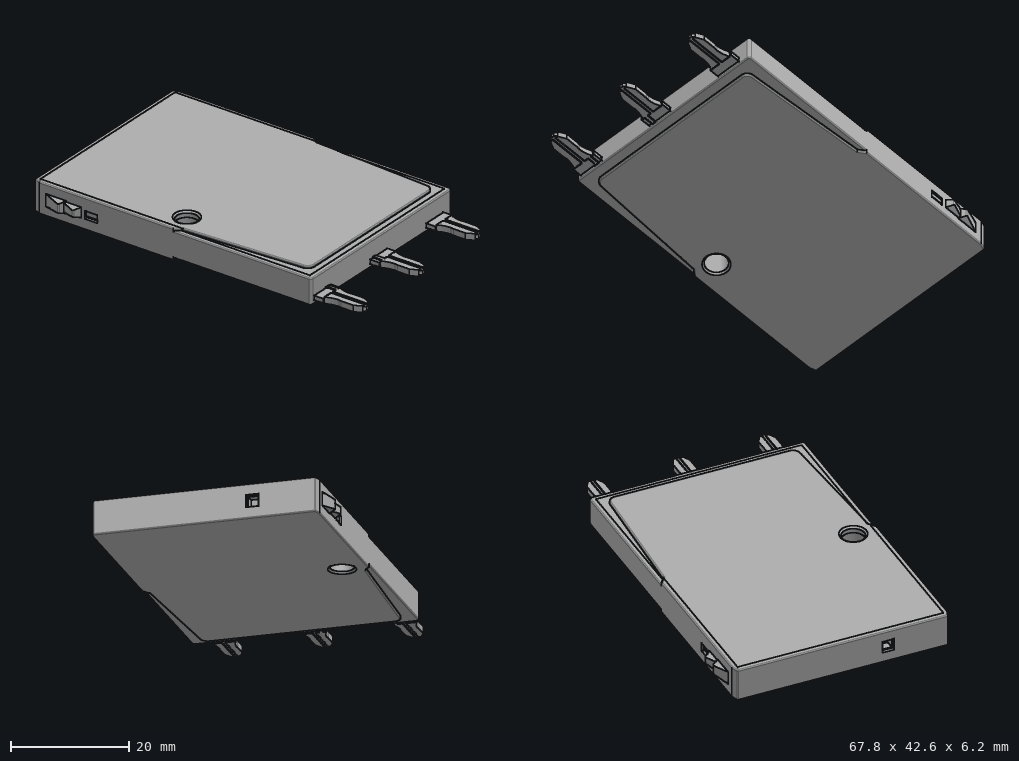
import cadquery as cq


LENGTH = 58.3
WIDTH = 40.2
THICKNESS = 6.2
HALF_WIDTH = WIDTH / 2
HALF_THICKNESS = THICKNESS / 2
NOSE_LENGTH = 1.3
NOSE_INSET = 0.45
NOSE_RADIUS = 0.2
END_RADIUS = 0.5
RIM_RADIUS = 0.2

STEP_DEPTH = 0.5
STEP_START_X = 29.4
TAPER_START_X = 30.7
TAPER_START_HALF_WIDTH = 19.1
RAISED_END_X = 56.2
RAISED_END_HALF_WIDTH = 17.65
RAISED_CORNER_RADIUS = 1.4

COVER_INSET = 0.9
COVER_DEPTH = 1.2

HOLE_X = 28.88
HOLE_Y = -15.48
HOLE_RADIUS = 2.08
HOLE_CHAMFER = 0.36

WINDOW_Y = -8.55
WINDOW_SIZE = 2.22
WINDOW_DEPTH = 0.65
WINDOW_INNER_SIZE = 1.78
WINDOW_INNER_DEPTH = 2.2

TOOTH_START_X = 2.67
TOOTH_APEX_X = 6.15
TOOTH_END_X = 7.0
TOOTH_HEIGHT = 1.285
TOOTH_TIP_RADIUS = 0.3
TOOTH_PITCH = 3.1
TOOTH_BASE_HALF_HEIGHTS = (1.22, 1.0)
TOOTH_DRAFT = 0.3
TOOTH_ROOT = 0.5

POCKET_START_X = 10.9
POCKET_END_X = 13.5
POCKET_END_SLANT = 0.25
POCKET_TOP_Z = 0.55
POCKET_BEND_Z = -0.55
POCKET_BOTTOM_Z = -1.0
POCKET_DEPTH = 0.3
POCKET_BOTTOM_DEPTH = 0.67

PIN_PITCH = 16.0
MIDDLE_PIN_Y = -0.75
PIN_Z = -1.45
PIN_THICKNESS = 1.3
THIN_THICKNESS = 0.9
PIN_ROOT = 3.0
COLLAR_LENGTH = 1.9
COLLAR_END_X = LENGTH + COLLAR_LENGTH
COLLAR_HALF_WIDTH = 2.45
BLADE_BASE_HALF_WIDTH = 2.2
NECK_X = 62.75
NECK_HALF_WIDTH = 1.53
BLADE_START_X = 63.3
BLADE_HALF_WIDTH = 1.62
TAPER_X = 65.9
SHOULDER_X = 67.35
SHOULDER_HALF_WIDTH = 0.87
TIP_X = 67.76
TIP_HALF_WIDTH = 0.32
GROOVE_HALF_WIDTH = 0.3

MIDDLE_RIDGE_Y = (-1.7, -0.95)
LOW_RIDGE_Y = (1.15, 1.8)
LOW_RIDGE_FLARE = 0.45


def prism(outline, z_low, z_high):
    """Extrude a closed XY outline from z_low to z_high."""
    return outline.extrude(z_high - z_low).translate((0, 0, z_low))


def plate(side, half_thickness, end_radius):
    """Plate with slanted nose corners and rounded rims, from the points of its +Y long side."""
    half = [(0, HALF_WIDTH - NOSE_INSET), (NOSE_LENGTH, HALF_WIDTH), *side]
    other_half = [(x, -y) for x, y in reversed(half)]
    block = prism(cq.Workplane("XY").polyline(half + other_half).close(), -half_thickness, half_thickness)
    block = block.edges("|Z and <X").fillet(NOSE_RADIUS)
    block = block.edges("|Z and >X").fillet(end_radius)
    return block.faces("<Z or >Z").edges().fillet(RIM_RADIUS)


def case_block():
    """Outer shape of housing and cover together: a plate with a thicker raised field."""
    base_side = [(LENGTH, HALF_WIDTH)]
    raised_side = [
        (STEP_START_X, HALF_WIDTH),
        (TAPER_START_X, TAPER_START_HALF_WIDTH),
        (RAISED_END_X, RAISED_END_HALF_WIDTH),
    ]
    base = plate(base_side, HALF_THICKNESS - STEP_DEPTH, END_RADIUS)
    return base.union(plate(raised_side, HALF_THICKNESS, RAISED_CORNER_RADIUS))


def cover_space():
    """Box inside which the case belongs to the cover."""
    return cq.Workplane("XY").box(
        LENGTH - 2 * COVER_INSET, WIDTH - 2 * COVER_INSET, COVER_DEPTH, centered=(False, True, False)
    ).translate((COVER_INSET, 0, HALF_THICKNESS - COVER_DEPTH))


def through_hole():
    """Hole through housing and cover, chamfered at both large faces."""
    mouth_radius = HOLE_RADIUS + HOLE_CHAMFER
    return (
        cq.Workplane("XZ")
        .polyline([
            (0, -HALF_THICKNESS),
            (mouth_radius, -HALF_THICKNESS),
            (HOLE_RADIUS, HOLE_CHAMFER - HALF_THICKNESS),
            (HOLE_RADIUS, HALF_THICKNESS - HOLE_CHAMFER),
            (mouth_radius, HALF_THICKNESS),
            (0, HALF_THICKNESS),
        ])
        .close()
        .revolve(360, (0, 0), (0, 1))
        .translate((HOLE_X, HOLE_Y, 0))
    )


def window():
    """Stepped square recess running inward from the -X end face."""
    outer = cq.Workplane("YZ").center(WINDOW_Y, 0).rect(WINDOW_SIZE, WINDOW_SIZE).extrude(WINDOW_DEPTH)
    inner = (
        cq.Workplane("YZ").center(WINDOW_Y, 0)
        .rect(WINDOW_INNER_SIZE, WINDOW_INNER_SIZE).extrude(WINDOW_INNER_DEPTH)
    )
    return outer.union(inner)


def tooth(shift, base_half_height):
    """Saw tooth on the +Y side with its upper and lower flanks drafted."""
    tip_y = HALF_WIDTH + TOOTH_HEIGHT
    root_y = HALF_WIDTH - TOOTH_ROOT
    outline = cq.Workplane("XY").polyline([
        (TOOTH_START_X, root_y),
        (TOOTH_START_X, HALF_WIDTH),
        (TOOTH_APEX_X, tip_y),
        (TOOTH_END_X, HALF_WIDTH),
        (TOOTH_END_X, root_y),
    ]).close()
    body = prism(outline, -HALF_THICKNESS, HALF_THICKNESS)
    body = body.edges("|Z and >Y").fillet(TOOTH_TIP_RADIUS)
    root_half_height = base_half_height + TOOTH_DRAFT * TOOTH_ROOT
    tip_half_height = base_half_height - TOOTH_DRAFT * TOOTH_HEIGHT
    flanks = cq.Workplane("YZ").polyline([
        (root_y, -root_half_height),
        (tip_y, -tip_half_height),
        (tip_y, tip_half_height),
        (root_y, root_half_height),
    ]).close().extrude(LENGTH)
    return body.intersect(flanks).translate((shift, 0, 0))


def pocket():
    """Shallow recess in the +Y side that deepens towards its floor and has a slanted +X end."""
    back_y = HALF_WIDTH - POCKET_DEPTH
    deepest_y = HALF_WIDTH - POCKET_BOTTOM_DEPTH
    section = cq.Workplane("YZ").polyline([
        (HALF_WIDTH, POCKET_TOP_Z),
        (back_y, POCKET_TOP_Z),
        (back_y, POCKET_BEND_Z),
        (deepest_y, POCKET_BOTTOM_Z),
        (HALF_WIDTH, POCKET_BOTTOM_Z),
    ]).close().extrude(LENGTH)
    plan = cq.Workplane("XY").polyline([
        (POCKET_START_X, HALF_WIDTH),
        (POCKET_START_X, deepest_y),
        (POCKET_END_X - POCKET_END_SLANT, deepest_y),
        (POCKET_END_X - POCKET_END_SLANT, back_y),
        (POCKET_END_X, HALF_WIDTH),
    ]).close()
    return section.intersect(prism(plan, POCKET_BOTTOM_Z, POCKET_TOP_Z))


def mirrored_pair(shape):
    """The shape and its mirror image on the other long side."""
    return [shape, shape.mirror("XZ")]


def pin_slab(outline, thickness):
    """Plate of the given thickness about the middle plane of the pins."""
    return prism(outline, PIN_Z - thickness / 2, PIN_Z + thickness / 2)


def blade_outline():
    """Blade with a hollow-sided base, a slight neck and a tapered tip."""
    arc_x = (COLLAR_END_X + NECK_X) / 2
    arc_half_width = NECK_HALF_WIDTH + (BLADE_BASE_HALF_WIDTH - NECK_HALF_WIDTH) / 4
    return (
        cq.Workplane("XY")
        .moveTo(COLLAR_END_X, -BLADE_BASE_HALF_WIDTH)
        .threePointArc((arc_x, -arc_half_width), (NECK_X, -NECK_HALF_WIDTH))
        .lineTo(BLADE_START_X, -BLADE_HALF_WIDTH)
        .lineTo(TAPER_X, -BLADE_HALF_WIDTH)
        .lineTo(SHOULDER_X, -SHOULDER_HALF_WIDTH)
        .lineTo(TIP_X, -TIP_HALF_WIDTH)
        .lineTo(TIP_X, TIP_HALF_WIDTH)
        .lineTo(SHOULDER_X, SHOULDER_HALF_WIDTH)
        .lineTo(TAPER_X, BLADE_HALF_WIDTH)
        .lineTo(BLADE_START_X, BLADE_HALF_WIDTH)
        .lineTo(NECK_X, NECK_HALF_WIDTH)
        .threePointArc((arc_x, arc_half_width), (COLLAR_END_X, BLADE_BASE_HALF_WIDTH))
        .close()
    )


def rectangle(x_low, x_high, y_low, y_high):
    """Rectangular XY outline between two corners."""
    corners = [(x_low, y_low), (x_high, y_low), (x_high, y_high), (x_low, y_high)]
    return cq.Workplane("XY").polyline(corners).close()


def collar_ridge(y_range, flare=0.0):
    """Ridge along the collar, optionally widened on its -Y edge at the housing."""
    y_low, y_high = y_range
    ridge = pin_slab(rectangle(LENGTH, COLLAR_END_X, y_low, y_high), PIN_THICKNESS)
    if flare:
        wedge = cq.Workplane("XY").polyline([
            (LENGTH, y_low),
            (LENGTH, y_low - flare),
            (LENGTH + flare, y_low),
        ]).close()
        ridge = ridge.union(pin_slab(wedge, PIN_THICKNESS))
    return ridge


def pin(y, ridge=None):
    """Blade pin with a thin collar, a groove along each face, a thin tip and an optional collar ridge."""
    collar = pin_slab(
        rectangle(LENGTH - PIN_ROOT, COLLAR_END_X, -COLLAR_HALF_WIDTH, COLLAR_HALF_WIDTH), THIN_THICKNESS
    )
    blade = pin_slab(blade_outline(), PIN_THICKNESS)
    groove = pin_slab(rectangle(COLLAR_END_X, TIP_X, -GROOVE_HALF_WIDTH, GROOVE_HALF_WIDTH), PIN_THICKNESS)
    tip = pin_slab(rectangle(SHOULDER_X, TIP_X, -SHOULDER_HALF_WIDTH, SHOULDER_HALF_WIDTH), PIN_THICKNESS)
    core = pin_slab(blade_outline(), THIN_THICKNESS)
    body = blade.cut(groove).cut(tip).union(core).union(collar)
    if ridge:
        body = body.union(ridge)
    return body.translate((0, y, 0))


pins = [
    pin(MIDDLE_PIN_Y + PIN_PITCH),
    pin(MIDDLE_PIN_Y, collar_ridge(MIDDLE_RIDGE_Y)),
    pin(MIDDLE_PIN_Y - PIN_PITCH, collar_ridge(LOW_RIDGE_Y, LOW_RIDGE_FLARE)),
]

case = case_block().cut(through_hole())

cover = case.intersect(cover_space())

housing = case.cut(cover_space()).cut(window())
for number, base_half_height in enumerate(TOOTH_BASE_HALF_HEIGHTS):
    for side_tooth in mirrored_pair(tooth(number * TOOTH_PITCH, base_half_height)):
        housing = housing.union(side_tooth)
for side_pocket in mirrored_pair(pocket()):
    housing = housing.cut(side_pocket)
for blade_pin in pins:
    housing = housing.cut(blade_pin)

result = cq.Compound.makeCompound([housing.val(), cover.val(), *[blade_pin.val() for blade_pin in pins]])